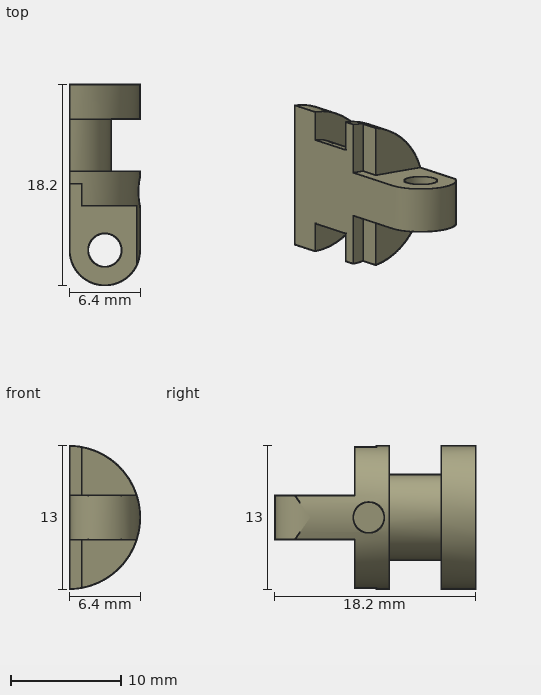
import cadquery as cq
import math

length = 18.2
width = 6.4
body_radius = 6.5
axis_x = width - body_radius

tongue_thickness = 4.0
tongue_length = 7.23
tip_radius = width / 2
pivot_diameter = 3.0

step_depth = 1.1
step_end = 9.2

neck_start = 10.35
neck_end = 15.05
neck_radius = 3.9

recess_diameter = 2.8
recess_y = 8.5
recess_depth = 2.0


def flat_sided_bar(radius, start, end):
    """Bar along Y between two stations: a circle on the body axis cut off flat at X = 0."""
    half_height = math.sqrt(radius**2 - axis_x**2)
    return (
        cq.Workplane("XZ", origin=(0, start, 0))
        .moveTo(0, -half_height)
        .threePointArc((axis_x + radius, 0), (0, half_height))
        .close()
        .extrude(start - end)
    )


def block_from_flat_side(depth, start, end, bottom, top):
    """Rectangular block reaching from X = 0 to the given depth."""
    return cq.Workplane("XY").box(depth, end - start, top - bottom, centered=False).translate(
        (0, start, bottom)
    )


body = flat_sided_bar(body_radius, 0, length)
neck = flat_sided_bar(neck_radius, neck_start, neck_end)
neck_groove = block_from_flat_side(width, neck_start, neck_end, -body_radius, body_radius).cut(neck)
body = body.cut(neck_groove)

half_tongue = tongue_thickness / 2
for bottom, top in ((half_tongue, body_radius), (-body_radius, -half_tongue)):
    body = body.cut(block_from_flat_side(width, 0, tongue_length, bottom, top))
    body = body.cut(block_from_flat_side(step_depth, tongue_length, step_end, bottom, top))

plan_outline = (
    cq.Workplane("XY", origin=(0, 0, -body_radius))
    .moveTo(0, length)
    .lineTo(0, tip_radius)
    .threePointArc((tip_radius, 0), (width, tip_radius))
    .lineTo(width, length)
    .close()
    .extrude(2 * body_radius)
)
body = body.intersect(plan_outline)

pivot_hole = (
    cq.Workplane("XY", origin=(tip_radius, tip_radius, -tongue_thickness / 2))
    .circle(pivot_diameter / 2)
    .extrude(tongue_thickness)
)

recess = (
    cq.Workplane("YZ", origin=(width - recess_depth, recess_y, 0))
    .circle(recess_diameter / 2)
    .extrude(2 * recess_depth)
)

result = body.cut(pivot_hole).cut(recess)